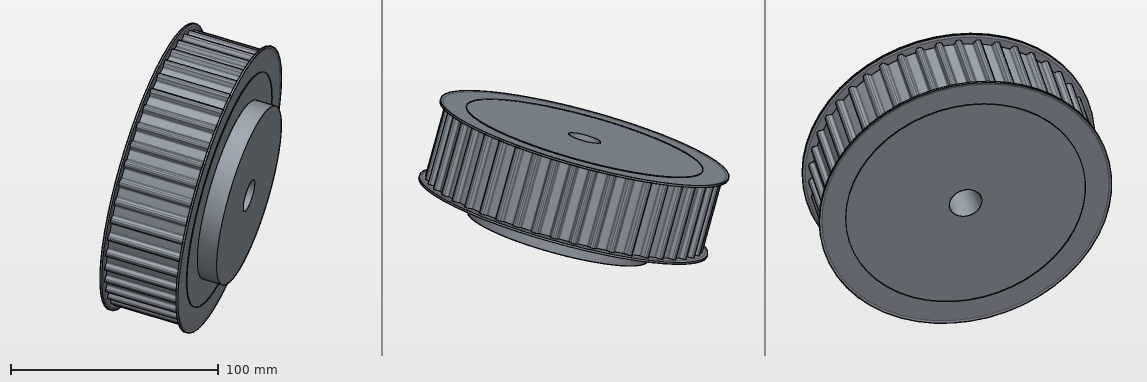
import cadquery as cq
import math

flange_dia = 144.0
bore_dia = 16.0
hub_dia = 90.0
total_length = 50.0
pulley_width = 40.0

flange_thickness = 1.04
dish_depth = 0.36
dish_inner_dia = 141.4
seat_dia = 118.1

tooth_count = 44
tip_radius = 69.1
tooth_depth = 2.5
tip_half_width = 1.08
flank_angle = math.radians(25)
tip_fillet = 1.0
root_fillet = 0.4

flange_radius = flange_dia / 2
dish_inner_radius = dish_inner_dia / 2
root_radius = tip_radius - tooth_depth
pitch_angle = 360 / tooth_count
body_start = dish_depth + flange_thickness
body_end = pulley_width - body_start
body_width = body_end - body_start
mid_plane = pulley_width / 2


def cylinder(diameter, start, length):
    """Solid cylinder along X, beginning at X = start."""
    return cq.Workplane("YZ").workplane(offset=start).circle(diameter / 2).extrude(length)


def single_tooth():
    """Single tooth centred on +Y with rounded tip corners, its base sunk below the root."""
    sink = 1.5
    base_half_width = tip_half_width + (tooth_depth + sink) * math.tan(flank_angle)
    base_radius = root_radius - sink
    outline = [
        (base_radius, -base_half_width),
        (tip_radius, -tip_half_width),
        (tip_radius, tip_half_width),
        (base_radius, base_half_width),
    ]
    base_plane = cq.Workplane("YZ").workplane(offset=body_start)
    tooth = base_plane.polyline(outline).close().extrude(body_width)
    return tooth.edges("|X and >Y").fillet(tip_fillet)


def is_root_corner(edge):
    """True for the axial edges where a tooth flank meets the root cylinder."""
    tolerance = 0.01
    center = edge.Center()
    on_root = abs(math.hypot(center.y, center.z) - root_radius) < tolerance
    return on_root and edge.geomType() == "LINE"


def toothed_body():
    """Root cylinder with evenly spaced teeth; tooth gaps are centred on the Y and Z axes."""
    tooth = single_tooth().val()
    teeth = []
    for index in range(tooth_count):
        angle = (index + 0.5) * pitch_angle
        teeth.append(tooth.rotate((0, 0, 0), (1, 0, 0), angle))
    root = cylinder(2 * root_radius, body_start, body_width).val()
    body = root.fuse(*teeth).clean()
    corners = [edge for edge in body.Edges() if is_root_corner(edge)]
    return cq.Workplane(obj=body.fillet(root_fillet, corners))


def flange():
    """Flange at the X = 0 end: a flat disc with its rim bent outward."""
    section = [
        (dish_depth, 0),
        (dish_depth, dish_inner_radius),
        (0, flange_radius),
        (flange_thickness, flange_radius),
        (body_start, dish_inner_radius),
        (body_start, 0),
    ]
    return cq.Workplane("XY").polyline(section).close().revolve(360, (0, 0), (1, 0))


near_flange = flange()
far_flange = near_flange.mirror("YZ", (mid_plane, 0, 0))
seat = cylinder(seat_dia, 0, pulley_width)
hub = cylinder(hub_dia, mid_plane, total_length - mid_plane)
bore = cylinder(bore_dia, 0, total_length)

result = toothed_body().union(near_flange).union(far_flange).union(seat).union(hub).cut(bore)